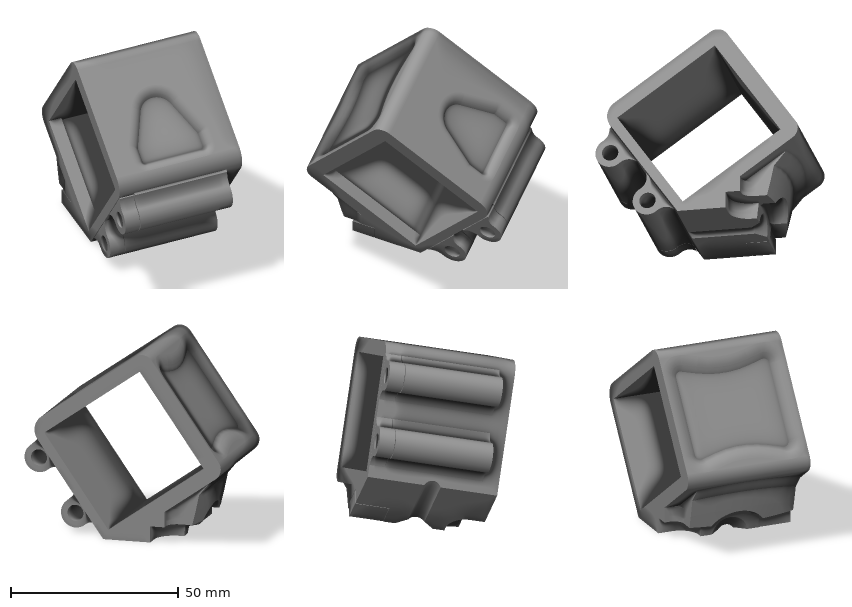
import cadquery as cq
import math

LENGTH_Y = 40.0
MID_Y = LENGTH_Y / 2
TILT = math.radians(35)
CLEARANCE = 0.2

WINDOW_X = 5.3
WINDOW_Z = 23.8
WINDOW_U = 36.35
WINDOW_V = 34.85
WALL_LEFT = 5.15
WALL_TOP = 4.5
WALL_LOWER = 4.5
WALL_RIGHT = 3.0
LEFT_CORNER_RADIUS = 3.75
RIGHT_CORNER_RADIUS = 5.0

FOOT_HEIGHT = 4.95
FOOT_STEP_X = 17.6
NOSE_TIP_X = 14.0
NOSE_FOOT_X = 14.55
NOSE_HALF_WIDTH = 9.4
NOTCH_BACK_X = 22.0
NOTCH_FILLET = 6.0

BORE_AXIS_DROP = 1.7
BORE_DIAMETER = 6.1
COUNTERSINK_RADIUS = 6.6
SHROUD_BORE_RADIUS = 10.75
SHROUD_BORE_BEVEL = 1.05

SHROUD_FRONT_INSET = 0.5
SHROUD_REAR_INSET = 5.0
SHROUD_BOTTOM_X = 8.4
SHROUD_BELLY_X = 7.3
SHROUD_BELLY_Z = 10.3
SHROUD_SHOULDER_X = 6.3
SHROUD_SHOULDER_Z = 15.7
SHROUD_PLAN_RADIUS = 40.2
SHROUD_OVERLAP = 0.6
SHROUD_BEVEL_LENGTH = 1.65
SHROUD_COVE_RADIUS = 3.3
SHROUD_ROOT_U = 0.2

LUG_RADIUS = 4.5
LUG_HOLE_DIAMETER = 4.95
LUG_STANDOFF = 4.8
LUG_FILLET = 4.0
LUG_PLACES_V = (9.4, 29.25)
LUG_TRIM_V = 35.8
FRONT_LUG_LENGTH = 4.7
REAR_LUG_END_Y = 34.95

DISH_DEPTH = 2.0
GRIP_HALF_WIDTH = 15.25
GRIP_HALF_HEIGHT = 14.3
GRIP_WAIST = 11.35
GRIP_KNEE = 8.8
GRIP_CORNER_RADIUS = 1.65
GRIP_SLOPE = 33.0
GRIP_ROLL_RADIUS = 5.5
THUMB_END_U = 31.5
THUMB_KNEE_U = 26.5
THUMB_NOSE_U = 12.2
THUMB_HALF_WIDTH = 9.8
THUMB_NOSE_RADIUS = 5.4
THUMB_CORNER_RADIUS = 0.6
THUMB_SLOPE = 48.0
THUMB_ROLL_RADIUS = 3.15

POCKET_DEPTH = 2.0
POCKET_MARGIN = 4.0
INSERT_WIDTH = 10.05
INSERT_HEIGHT = 4.4
INSERT_THICKNESS = 2.0

COS = math.cos(TILT)
SIN = math.sin(TILT)
U_DIR = (COS, 0, -SIN)
V_DIR = (SIN, 0, COS)
OUTER_LEFT = -WALL_LEFT
OUTER_RIGHT = WINDOW_U + WALL_RIGHT
OUTER_LOW = -WALL_LOWER
OUTER_TOP = WINDOW_V + WALL_TOP
SPAN = 75.3


def to_x(u, v):
    return WINDOW_X + u * COS + v * SIN


def to_z(u, v):
    return WINDOW_Z - u * SIN + v * COS


def to_u(x, z):
    return (x - WINDOW_X) * COS - (z - WINDOW_Z) * SIN


def to_v(x, z):
    return (x - WINDOW_X) * SIN + (z - WINDOW_Z) * COS


def tube_plane(y):
    """Plane across the tube at depth y, with axes u and v."""
    return cq.Workplane(cq.Plane((WINDOW_X, y, WINDOW_Z), U_DIR, (0, -1, 0)))


def tube_box(u_min, u_max, v_min, v_max, y_min, y_max):
    """Box aligned with the tilted tube."""
    outline = tube_plane(y_min).moveTo(u_min, v_min).lineTo(u_max, v_min).lineTo(u_max, v_max)
    return outline.lineTo(u_min, v_max).close().extrude(y_min - y_max)


def upright_box(x_min, x_max, y_min, y_max, z_min, z_max):
    size = (x_max - x_min, y_max - y_min, z_max - z_min)
    return cq.Workplane("XY").box(*size, centered=False).translate((x_min, y_min, z_min))


def bore_plane(x):
    """Plane across the round opening at x, facing +X."""
    return cq.Workplane(cq.Plane((x, MID_Y, -BORE_AXIS_DROP), (0, 1, 0), (1, 0, 0)))


def make_tube():
    """Tilted tube with three rounded corners; the window is cut later."""
    tube = tube_box(OUTER_LEFT, OUTER_RIGHT, OUTER_LOW, OUTER_TOP, 0, LENGTH_Y)
    left_corners = tube.edges("|Y").edges(
        cq.selectors.BoxSelector(
            (to_x(OUTER_LEFT, OUTER_LOW) - 0.6, -0.6, to_z(OUTER_LEFT, OUTER_LOW) - 0.6),
            (to_x(OUTER_LEFT, OUTER_TOP) + 0.6, LENGTH_Y + 0.6, to_z(OUTER_LEFT, OUTER_TOP) + 0.6),
        )
    )
    tube = left_corners.fillet(LEFT_CORNER_RADIUS)
    return tube.edges("|Y").edges(">X").fillet(RIGHT_CORNER_RADIUS)


def make_foot():
    """Flat-bottomed foot below the lower wall, ending in the nose on the left."""
    step_u = (FOOT_STEP_X - WINDOW_X - OUTER_LOW * SIN) / COS
    right_x = to_x(OUTER_RIGHT, 0) - to_z(OUTER_RIGHT, 0) * math.tan(TILT)
    points = [
        (right_x, 0),
        (NOSE_FOOT_X, 0),
        (NOSE_TIP_X, FOOT_HEIGHT),
        (FOOT_STEP_X, FOOT_HEIGHT),
        (FOOT_STEP_X, to_z(step_u, OUTER_LOW)),
        (to_x(step_u, 0), to_z(step_u, 0)),
        (to_x(OUTER_RIGHT, 0), to_z(OUTER_RIGHT, 0)),
    ]
    return cq.Workplane("XZ").polyline(points).close().extrude(-LENGTH_Y)


def make_shroud():
    """Bulge under the lower wall, revolved about a distant axis square to that wall."""
    seat_v = OUTER_LOW + SHROUD_OVERLAP
    back_x = FOOT_STEP_X + SHROUD_OVERLAP
    lean = (SHROUD_BOTTOM_X - SHROUD_BELLY_X) / (SHROUD_BELLY_Z - FOOT_HEIGHT)
    toe_x = SHROUD_BOTTOM_X + lean * FOOT_HEIGHT
    back_u = (back_x - WINDOW_X - seat_v * SIN) / COS
    axis_u = to_u(SHROUD_BOTTOM_X, FOOT_HEIGHT) + SHROUD_PLAN_RADIUS
    points = [
        (to_u(back_x, 0), to_v(back_x, 0)),
        (to_u(toe_x, 0), to_v(toe_x, 0)),
        (to_u(SHROUD_BELLY_X, SHROUD_BELLY_Z), to_v(SHROUD_BELLY_X, SHROUD_BELLY_Z)),
        (to_u(SHROUD_SHOULDER_X, SHROUD_SHOULDER_Z), to_v(SHROUD_SHOULDER_X, SHROUD_SHOULDER_Z)),
        (SHROUD_ROOT_U, OUTER_LOW),
        (SHROUD_ROOT_U, seat_v),
        (back_u, seat_v),
    ]
    ring = tube_plane(MID_Y).polyline(points).close().revolve(360, (axis_u, 0), (axis_u, 1))
    keep = upright_box(
        0, NOTCH_BACK_X, SHROUD_FRONT_INSET, LENGTH_Y - SHROUD_REAR_INSET, FOOT_HEIGHT, WINDOW_Z
    )
    return ring.intersect(keep)


def make_shroud_blends():
    """Strips that blend the shroud ends into the foot: a bevel in front, a cove behind."""
    step_u = (FOOT_STEP_X - WINDOW_X - OUTER_LOW * SIN) / COS
    height = to_z(step_u, OUTER_LOW) - FOOT_HEIGHT
    base = cq.Workplane("XY", origin=(0, 0, FOOT_HEIGHT))
    bevel_points = [
        (FOOT_STEP_X, 0),
        (FOOT_STEP_X - SHROUD_BEVEL_LENGTH, SHROUD_FRONT_INSET),
        (FOOT_STEP_X, SHROUD_FRONT_INSET),
    ]
    bevel = base.polyline(bevel_points).close().extrude(height)
    end_y = LENGTH_Y - SHROUD_REAR_INSET
    bow = SHROUD_COVE_RADIUS * (1 - math.sqrt(0.5))
    cove = (
        base.moveTo(FOOT_STEP_X - SHROUD_COVE_RADIUS, end_y)
        .threePointArc((FOOT_STEP_X - bow, end_y + bow), (FOOT_STEP_X, end_y + SHROUD_COVE_RADIUS))
        .lineTo(FOOT_STEP_X, end_y)
        .close()
        .extrude(height)
    )
    return bevel, cove


FLANK_REACH = LUG_RADIUS + LUG_FILLET
FLANK_RISE = LUG_STANDOFF - LUG_FILLET
FLANK_V = math.sqrt(FLANK_REACH**2 - FLANK_RISE**2)
LUG_BASE_U = OUTER_RIGHT + CLEARANCE
LUG_BASE_HALF = FLANK_V - math.sqrt(LUG_FILLET**2 - (LUG_FILLET - CLEARANCE) ** 2)


def make_lug(place_v, y_min, y_max):
    """Lug with a round head and concave flanks, its base CLEARANCE off the right wall."""
    head_u = OUTER_RIGHT + LUG_STANDOFF
    touch_u = head_u - FLANK_RISE * LUG_RADIUS / FLANK_REACH
    touch_v = FLANK_V * LUG_RADIUS / FLANK_REACH
    base_angle = math.asin((LUG_FILLET - CLEARANCE) / LUG_FILLET)
    touch_angle = math.atan2(FLANK_RISE, FLANK_V)
    mid_angle = (base_angle - touch_angle) / 2
    flank_u = OUTER_RIGHT + LUG_FILLET * (1 - math.sin(mid_angle))
    flank_v = FLANK_V - LUG_FILLET * math.cos(mid_angle)
    lug = (
        tube_plane(y_min)
        .moveTo(LUG_BASE_U, place_v - LUG_BASE_HALF)
        .threePointArc((flank_u, place_v - flank_v), (touch_u, place_v - touch_v))
        .threePointArc((head_u + LUG_RADIUS, place_v), (touch_u, place_v + touch_v))
        .threePointArc((flank_u, place_v + flank_v), (LUG_BASE_U, place_v + LUG_BASE_HALF))
        .close()
        .moveTo(head_u, place_v)
        .circle(LUG_HOLE_DIAMETER / 2)
        .extrude(y_min - y_max)
    )
    return lug.cut(tube_box(0, SPAN, LUG_TRIM_V, SPAN, y_min, y_max))


def make_rear_lug(place_v):
    """Long lug joined to the right wall by a pad that fills its base."""
    y_min = FRONT_LUG_LENGTH + CLEARANCE
    pad_top = min(place_v + LUG_BASE_HALF, LUG_TRIM_V)
    pad_bottom = place_v - LUG_BASE_HALF
    pad_root = OUTER_RIGHT - WALL_RIGHT / 2
    pad = tube_box(pad_root, LUG_BASE_U, pad_bottom, pad_top, y_min, REAR_LUG_END_Y)
    return make_lug(place_v, y_min, REAR_LUG_END_Y).union(pad)


def grip_floor():
    """Floor of the side grip, pinched at mid-length by arcs that run out into straight lines."""
    w, h = GRIP_HALF_HEIGHT, GRIP_HALF_WIDTH
    slope = (w - GRIP_WAIST) / (h - GRIP_KNEE / 2)
    knee = GRIP_WAIST + slope * GRIP_KNEE / 2
    outline = (
        cq.Workplane("XY")
        .moveTo(-w, -h)
        .lineTo(w, -h)
        .lineTo(knee, -GRIP_KNEE)
        .threePointArc((GRIP_WAIST, 0), (knee, GRIP_KNEE))
        .lineTo(w, h)
        .lineTo(-w, h)
        .lineTo(-knee, GRIP_KNEE)
        .threePointArc((-GRIP_WAIST, 0), (-knee, -GRIP_KNEE))
        .close()
    )
    corners = outline.extrude(0.6).edges("|Z").edges("<Y or >Y")
    return corners.fillet(GRIP_CORNER_RADIUS).faces("<Z").wires().val()


def thumb_floor():
    """Floor of the thumb rest: straight end, tapering sides and a round nose."""
    r = THUMB_NOSE_RADIUS
    centre_u = THUMB_NOSE_U + r
    run = THUMB_KNEE_U - centre_u
    tangent = math.atan2(THUMB_HALF_WIDTH, run) + math.acos(r / math.hypot(run, THUMB_HALF_WIDTH))
    touch_u = centre_u + r * math.cos(tangent)
    touch_y = r * math.sin(tangent)
    outline = (
        cq.Workplane("XY")
        .moveTo(THUMB_END_U, -THUMB_HALF_WIDTH)
        .lineTo(THUMB_END_U, THUMB_HALF_WIDTH)
        .lineTo(THUMB_KNEE_U, THUMB_HALF_WIDTH)
        .lineTo(touch_u, touch_y)
        .threePointArc((THUMB_NOSE_U, 0), (touch_u, -touch_y))
        .lineTo(THUMB_KNEE_U, -THUMB_HALF_WIDTH)
        .close()
    )
    prism = outline.extrude(0.6).edges("|Z").edges(">X").fillet(THUMB_CORNER_RADIUS)
    return prism.faces("<Z").wires().val()


def make_dish(floor, slope, roll_radius, plane):
    """Cutter for a dish: sloping sides that roll smoothly over onto the wall face.

    It is built with the floor on the XY plane and then moved so that the wall face is the plane given.
    """
    sides = cq.Workplane("XY").add(floor).toPending().extrude(DISH_DEPTH, taper=slope - 90)
    lid_height = 3.15
    lid = cq.Workplane("XY", origin=(0, 0, DISH_DEPTH)).rect(SPAN, SPAN).extrude(lid_height)
    near = SPAN / 2 - 0.6
    rim = cq.selectors.BoxSelector((-near, -near, DISH_DEPTH - 0.05), (near, near, DISH_DEPTH + 0.05))
    cutter = sides.union(lid).edges(rim).fillet(roll_radius)
    return cutter.val().translate(cq.Vector(0, 0, -DISH_DEPTH)).moved(cq.Location(plane))


def make_grip_dish():
    middle_v = WINDOW_V / 2
    origin = (to_x(OUTER_LEFT, middle_v), MID_Y, to_z(OUTER_LEFT, middle_v))
    plane = cq.Plane(origin, V_DIR, (-COS, 0, SIN))
    return make_dish(grip_floor(), GRIP_SLOPE, GRIP_ROLL_RADIUS, plane)


def make_thumb_dish():
    origin = (to_x(0, OUTER_TOP), MID_Y, to_z(0, OUTER_TOP))
    plane = cq.Plane(origin, U_DIR, V_DIR)
    return make_dish(thumb_floor(), THUMB_SLOPE, THUMB_ROLL_RADIUS, plane)


def make_opening():
    """Cutter for the through bore, its countersink and the wider bore through the shroud."""
    bore_radius = BORE_DIAMETER / 2
    bore = bore_plane(0).circle(bore_radius).extrude(SPAN)
    mouth = bore_plane(0).circle(COUNTERSINK_RADIUS).extrude(NOSE_TIP_X)
    cone_length = COUNTERSINK_RADIUS - bore_radius
    cone = mouth.faces(">X").wires().toPending().workplane(offset=cone_length).circle(bore_radius).loft()
    shroud_bore = bore_plane(0).circle(SHROUD_BORE_RADIUS).extrude(NOSE_TIP_X)
    shroud_bore = shroud_bore.faces(">X").edges().chamfer(SHROUD_BORE_BEVEL)
    return bore.union(mouth).union(cone).union(shroud_bore)


def make_notches():
    """Cutters for the foot corners beside the nose: square in front, rounded behind."""
    front = upright_box(0, NOTCH_BACK_X, 0, MID_Y - NOSE_HALF_WIDTH, 0, FOOT_HEIGHT)
    rear = upright_box(0, NOTCH_BACK_X, MID_Y + NOSE_HALF_WIDTH, LENGTH_Y, 0, FOOT_HEIGHT)
    rear = rear.edges("|Z").edges(">X").edges("<Y").fillet(NOTCH_FILLET)
    return front, rear


def make_pocket():
    """Cutter for the pocket in the lower wall, rounded where it meets the right wall."""
    pocket = tube_box(0, WINDOW_U, -POCKET_DEPTH, 0, POCKET_MARGIN, LENGTH_Y - POCKET_MARGIN)
    return pocket.edges("|Y").edges("<Z").fillet(POCKET_DEPTH * 0.99)


def make_insert():
    """Plate set flush into the inner face of the right wall, just above the pocket."""
    return tube_box(
        WINDOW_U,
        WINDOW_U + INSERT_THICKNESS,
        0,
        INSERT_HEIGHT,
        MID_Y - INSERT_WIDTH / 2,
        MID_Y + INSERT_WIDTH / 2,
    )


def make_block():
    """Loose block in the front notch, with clearance above, beside and behind it."""
    return upright_box(
        NOSE_FOOT_X + CLEARANCE,
        NOTCH_BACK_X - CLEARANCE,
        0,
        MID_Y - NOSE_HALF_WIDTH - CLEARANCE,
        0,
        FOOT_HEIGHT - CLEARANCE,
    )


def make_housing():
    housing = make_tube().union(make_foot()).union(make_shroud())
    for blend in make_shroud_blends():
        housing = housing.union(blend)
    below_foot = upright_box(0, SPAN, 0, LENGTH_Y, -SPAN, 0)
    housing = housing.cut(below_foot).cut(make_opening())
    for notch in make_notches():
        housing = housing.cut(notch)
    for place_v in LUG_PLACES_V:
        housing = housing.union(make_rear_lug(place_v))
    housing = housing.cut(tube_box(0, WINDOW_U, 0, WINDOW_V, 0, LENGTH_Y))
    housing = housing.cut(make_grip_dish()).cut(make_thumb_dish())
    return housing.cut(make_pocket()).cut(make_insert())


housing = make_housing()
block = make_block()
insert = make_insert()
front_lugs = [make_lug(place_v, 0, FRONT_LUG_LENGTH) for place_v in LUG_PLACES_V]

result = cq.Compound.makeCompound(
    [housing.val(), block.val(), insert.val(), *[lug.val() for lug in front_lugs]]
)